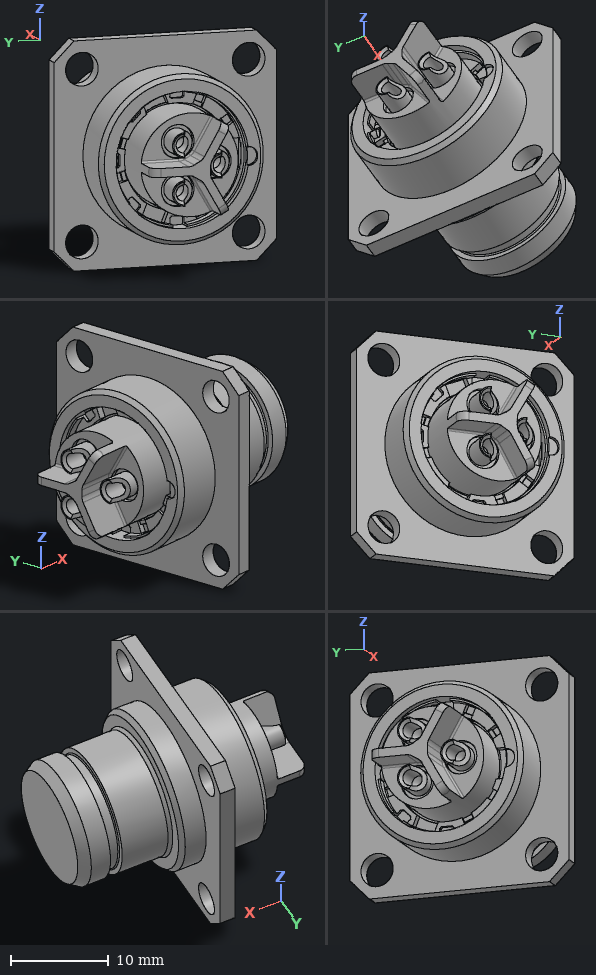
import cadquery as cq
import math

length = 27.05

flange_start = 11.87
flange_end = 13.6
flange_size = 24.0
flange_corner_chamfer = 2.15
mount_hole_diameter = 3.5
mount_hole_spacing = 18.0

shell_start = 6.3
shell_end = 16.55
shell_radius = 8.9
shell_chamfer_length = 0.55
shell_chamfer_height = 0.45
neck_end = 17.0
neck_radius = 7.17
barrel_radius = 6.95
groove_start = 22.3
groove_end = 23.65
groove_radius = 6.25
groove_root_chamfer = 0.14
nose_start = 25.85
nose_radius = 6.22

mouth_radius = 7.15
mouth_depth = 0.8
seat_radius = 6.92
seat_depth = 1.85
ring_face = shell_start + seat_depth
ring_inner_radius = 5.65
gap_depth = 1.08
index_mark_radius = 0.97
index_mark_depth = 0.4

key_angles = (0.0, 112.0, -112.0)
key_widths = (3.25, 2.52, 2.52)
key_depth = 0.8
window_angles = (33.0, 67.2, 163.5, -33.0, -67.2, -163.5)
window_width = 1.08
window_step_radius = 6.09
window_depth = 0.65
window_step_depth = 0.32
notch_angles = (90.0, 135.0, 180.0, 225.0, 270.0)
notch_width = 1.51
notch_inner_radius = 6.15
notch_corner_chamfer = 0.2
notch_depth = 0.4
rib_radius = 0.7
rib_inner_radius = 6.46

insert_radius = 5.4
floor_high = 3.5
floor_low = 4.52
insert_end = ring_face + gap_depth
web_angles = (60.0, 180.0, -60.0)
sector_half_angle = math.radians(60.0)
web_thickness = 0.95
web_tip_round = 1.0
web_root_fillet = 0.22
hub_inradius = 0.95
hub_fillet = 1.15

sector_angles = (0.0, 120.0, -120.0)
sector_floors = (floor_low, floor_high, floor_high)
contact_circle_radius = 2.9
contact_radius = 1.33
contact_projection = 2.33
cup_bore_radius = 0.85
cup_bore_depth = 2.98
cup_countersink_radius = 1.2
cup_countersink_depth = 0.3
cup_scoop_radius = 1.68
contact_recess_radius = 1.75
contact_recess_depth = 0.55
drill_half_angle = math.radians(59.0)


def disc(radius, start, end, y=0.0, z=0.0):
    """Cylinder along X between two stations."""
    return cq.Workplane("YZ", origin=(start, y, z)).circle(radius).extrude(end - start)


def tube(outer, inner, start, end):
    """Hollow cylinder along X between two stations."""
    return cq.Workplane("YZ", origin=(start, 0, 0)).circle(outer).circle(inner).extrude(end - start)


def turn(solid, angle):
    """Turn a solid about the connector axis, from -Y towards +Z."""
    return solid.rotate((0, 0, 0), (1, 0, 0), -angle)


def block(start, end, inner, outer, width):
    """Box reaching from the inner to the outer distance along -Y."""
    return (
        cq.Workplane("YZ", origin=(start, -(inner + outer) / 2, 0))
        .rect(outer - inner, width)
        .extrude(end - start)
    )


def make_housing():
    """Turned outside of shell, barrel, snap groove and nose."""
    chamfer_radius = shell_radius - shell_chamfer_height
    return (
        cq.Workplane("XY")
        .moveTo(shell_start, 0)
        .lineTo(shell_start, chamfer_radius)
        .lineTo(shell_start + shell_chamfer_length, shell_radius)
        .lineTo(shell_end - shell_chamfer_length, shell_radius)
        .lineTo(shell_end, chamfer_radius)
        .lineTo(shell_end, neck_radius)
        .lineTo(neck_end, barrel_radius)
        .lineTo(groove_start, barrel_radius)
        .lineTo(groove_start, groove_radius + groove_root_chamfer)
        .lineTo(groove_start + groove_root_chamfer, groove_radius)
        .lineTo(groove_end - groove_root_chamfer, groove_radius)
        .lineTo(groove_end, groove_radius + groove_root_chamfer)
        .lineTo(groove_end, barrel_radius)
        .lineTo(nose_start, barrel_radius)
        .lineTo(length, nose_radius)
        .lineTo(length, 0)
        .close()
        .revolve(360, (0, 0, 0), (1, 0, 0))
    )


def make_flange():
    """Square plate with cut corners and four mounting holes."""
    return (
        cq.Workplane("YZ", origin=(flange_start, 0, 0))
        .rect(flange_size, flange_size)
        .extrude(flange_end - flange_start)
        .edges("|X")
        .chamfer(flange_corner_chamfer)
        .faces("<X")
        .workplane()
        .rect(mount_hole_spacing, mount_hole_spacing, forConstruction=True)
        .vertices()
        .hole(mount_hole_diameter)
    )


def make_bore():
    """Stepped opening of the shell, with the index mark on its rim."""
    mouth = disc(mouth_radius, shell_start, shell_start + mouth_depth)
    seat = disc(seat_radius, shell_start, ring_face)
    gap = disc(ring_inner_radius, ring_face, insert_end)
    index_mark = disc(index_mark_radius, shell_start, shell_start + index_mark_depth, y=-mouth_radius)
    return mouth.union(seat).union(gap).union(index_mark)


def make_ring_cuts():
    """Coding slots, snap windows and notches sunk into the ring face."""
    seat_start = shell_start + mouth_depth
    cuts = cq.Workplane("YZ")
    for angle, width in zip(key_angles, key_widths):
        key = block(ring_face, ring_face + key_depth, insert_radius, seat_radius, width)
        cuts = cuts.union(turn(key, angle))
    for angle in window_angles:
        step = block(ring_face, ring_face + window_step_depth, insert_radius, seat_radius, window_width)
        window = block(ring_face, ring_face + window_depth, window_step_radius, seat_radius, window_width)
        cuts = cuts.union(turn(step.union(window), angle))
    for angle in notch_angles:
        notch = block(seat_start, ring_face + notch_depth, notch_inner_radius, shell_radius, notch_width)
        notch = notch.edges("|X and >Y").chamfer(notch_corner_chamfer)
        cuts = cuts.union(turn(notch, angle))
    deepest = ring_face + max(key_depth, window_depth, notch_depth)
    return cuts.intersect(tube(mouth_radius, insert_radius, seat_start, deepest))


def make_rib():
    """Round rib lying along Y in the +Y notch."""
    return (
        cq.Workplane("XZ", origin=(ring_face + notch_depth, mouth_radius, 0))
        .circle(rib_radius)
        .extrude(mouth_radius - rib_inner_radius)
    )


def make_sector_pocket(floor):
    """Space between two webs, opening towards -Y, with a rounded hub wall and root."""
    reach = 2 * insert_radius
    web_slope = math.tan(sector_half_angle)
    web_offset = web_thickness / 2 / math.cos(sector_half_angle)

    def web_face(distance):
        """Half-width of the pocket at a distance from the axis."""
        return distance * web_slope - web_offset

    hub_half_width = web_face(hub_inradius)
    reach_half_width = web_face(reach)
    outline = [
        (-hub_inradius, -hub_half_width),
        (-hub_inradius, hub_half_width),
        (-reach, reach_half_width),
        (-reach, -reach_half_width),
    ]
    pocket = cq.Workplane("YZ").polyline(outline).close().extrude(floor)
    pocket = pocket.edges("|X and >Y").fillet(hub_fillet)
    return pocket.faces(">X").edges().fillet(web_root_fillet)


def make_tip_envelope():
    """Three radial plates with rounded front corners, which limit the web tips."""
    envelope = disc(insert_radius, floor_high - web_root_fillet, insert_end)
    for angle in web_angles:
        plate = block(0, ring_face, 0, insert_radius, insert_radius)
        plate = plate.edges("<X and <Y").fillet(web_tip_round)
        envelope = envelope.union(turn(plate, angle))
    return envelope


def make_insert():
    """Insulating body: a cylinder with three sectors cleared between the webs."""
    body = disc(insert_radius, 0, insert_end).intersect(make_tip_envelope())
    for angle, floor in zip(sector_angles, sector_floors):
        body = body.cut(turn(make_sector_pocket(floor), angle))
    return body


def contact_center(angle):
    """Position (Y, Z) of the contact in a sector."""
    turn_angle = math.radians(angle)
    return -contact_circle_radius * math.cos(turn_angle), contact_circle_radius * math.sin(turn_angle)


def make_cup_bore(start, y, z):
    """Countersunk blind bore with a drill-point bottom."""
    bore_end = start + cup_bore_depth
    return (
        cq.Workplane("XY")
        .moveTo(start, 0)
        .lineTo(start, cup_countersink_radius)
        .lineTo(start + cup_countersink_depth, cup_bore_radius)
        .lineTo(bore_end, cup_bore_radius)
        .lineTo(bore_end + cup_bore_radius / math.tan(drill_half_angle), 0)
        .close()
        .revolve(360, (0, 0, 0), (1, 0, 0))
        .translate((0, y, z))
    )


def make_scoop(start, y, z):
    """Round hollow along Z that opens the -Y half of a cup."""
    return (
        cq.Workplane("XY", origin=(start, y - cup_scoop_radius, z))
        .circle(cup_scoop_radius)
        .extrude(contact_radius, both=True)
    )


def add_contact(body, angle, floor):
    """Set one solder cup into a clearance recess in its sector floor."""
    y, z = contact_center(angle)
    start = floor - contact_projection
    recess_end = floor + contact_recess_depth
    recess = disc(contact_recess_radius, floor, recess_end, y, z)
    cup = disc(contact_radius, start, recess_end, y, z).cut(make_scoop(start, y, z))
    return body.cut(recess).union(cup).cut(make_cup_bore(start, y, z))


result = make_housing().union(make_flange())
result = result.cut(make_bore()).cut(make_ring_cuts())
result = result.union(make_rib()).union(make_insert())
for sector_angle, sector_floor in zip(sector_angles, sector_floors):
    result = add_contact(result, sector_angle, sector_floor)